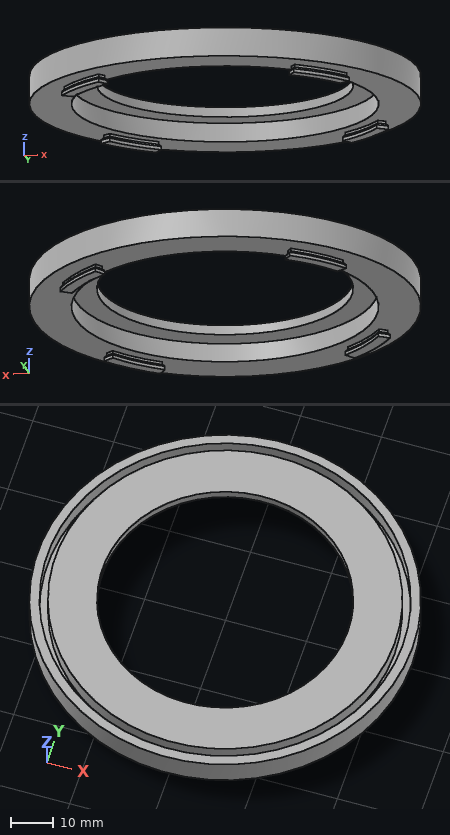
import cadquery as cq
import math

outer_diameter = 92.5
body_height = 6.9

groove_outer_diameter = 87.7
groove_inner_diameter = 83.7
groove_depth = 4.6

hole_diameter = 60.5
recess_diameter = 72.5
web_thickness = 2.4

foot_count = 4
first_foot_angle = 45.0
foot_height = 2.0
neck_height = 0.65
rim_height = 0.8
rim_overhang = 0.5
rim_outer_radius = groove_inner_diameter / 2
rim_inner_radius = 38.85
rim_half_angle = 10.8


def ring(outer, inner, bottom, height):
    """Flat ring between two diameters, rising from the bottom level."""
    return (
        cq.Workplane("XY", origin=(0, 0, bottom))
        .circle(outer / 2)
        .circle(inner / 2)
        .extrude(height)
    )


def polar(radius, angle):
    """Point at a radius and an angle in degrees."""
    return (radius * math.cos(math.radians(angle)), radius * math.sin(math.radians(angle)))


def foot_section(level, inset):
    """Closed arc-shaped wire on the +X axis, inset evenly from the rim outline."""
    outer = rim_outer_radius - inset
    inner = rim_inner_radius + inset
    half_angle = rim_half_angle - math.degrees(inset / rim_outer_radius)
    return (
        cq.Workplane("XY", origin=(0, 0, level))
        .moveTo(*polar(outer, -half_angle))
        .threePointArc((outer, 0), polar(outer, half_angle))
        .lineTo(*polar(inner, half_angle))
        .threePointArc((inner, 0), polar(inner, -half_angle))
        .close()
    )


def make_foot():
    """One foot hanging below the body on the +X axis."""
    flare_bottom = rim_height - foot_height
    rim = foot_section(-foot_height, 0).extrude(rim_height)
    wide_wire = foot_section(flare_bottom, 0).val()
    narrow_wire = foot_section(-neck_height, rim_overhang).val()
    flare = cq.Workplane(cq.Solid.makeLoft([wide_wire, narrow_wire], True))
    neck = foot_section(-neck_height, rim_overhang).extrude(neck_height)
    return rim.union(flare).union(neck)


body = ring(outer_diameter, hole_diameter, 0, body_height)
groove = ring(groove_outer_diameter, groove_inner_diameter, body_height - groove_depth, groove_depth)
recess = cq.Workplane("XY").circle(recess_diameter / 2).extrude(body_height - web_thickness)
result = body.cut(groove).cut(recess)

foot = make_foot()
for index in range(foot_count):
    angle = first_foot_angle + index * 360 / foot_count
    result = result.union(foot.rotate((0, 0, 0), (0, 0, 1), angle))